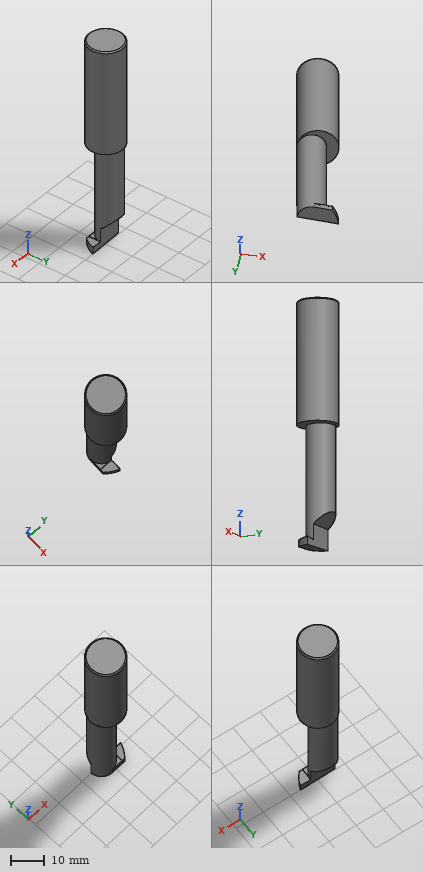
import cadquery as cq
import math

LENGTH = 76.2
SHANK_DIAMETER = 12.7
SHANK_BOTTOM = 38.1
SHANK_CHAMFER = 0.45

NECK_DIAMETER = 9.0
FLAT_TOP = 7.1
RAMP_TOP = 11.1

TOOTH_FLANK_X = 3.65
TOOTH_FLANK_BULGE = 0.3
TOOTH_STEP_X = 2.5
TOOTH_SHOULDER_Z = 2.45
TOOTH_ROOT_Z = 2.3
TOOTH_TIP_Z = 2.5

END_SLOPE_X = 2.5
END_SLOPE_Y = 2.0

shank_radius = SHANK_DIAMETER / 2
neck_radius = NECK_DIAMETER / 2
neck_x = neck_radius - shank_radius


def make_shank():
    shank = cq.Workplane("XY", origin=(0, 0, SHANK_BOTTOM))
    shank = shank.circle(shank_radius).extrude(LENGTH - SHANK_BOTTOM)
    return shank.faces(">Z").chamfer(SHANK_CHAMFER)


def make_neck():
    neck = cq.Workplane("XY").center(neck_x, 0).circle(neck_radius).extrude(SHANK_BOTTOM)
    relief = (
        cq.Workplane("YZ")
        .moveTo(0, 0)
        .lineTo(0, FLAT_TOP)
        .lineTo(neck_radius, RAMP_TOP)
        .lineTo(neck_radius, 0)
        .close()
        .extrude(SHANK_DIAMETER, both=True)
    )
    return neck.cut(relief)


def make_tooth():
    plan = (
        cq.Workplane("XY")
        .moveTo(neck_x, 0)
        .lineTo(neck_x, -neck_radius)
        .lineTo(TOOTH_FLANK_X, -neck_radius)
        .sagittaArc((shank_radius, 0), -TOOTH_FLANK_BULGE)
        .close()
        .extrude(TOOTH_TIP_Z)
    )
    profile = (
        cq.Workplane("XZ")
        .moveTo(neck_x, 0)
        .lineTo(neck_x, TOOTH_SHOULDER_Z)
        .lineTo(TOOTH_STEP_X, TOOTH_SHOULDER_Z)
        .lineTo(TOOTH_STEP_X, TOOTH_ROOT_Z)
        .lineTo(shank_radius, TOOTH_TIP_Z)
        .lineTo(shank_radius, 0)
        .close()
        .extrude(neck_radius)
    )
    return plan.intersect(profile)


def make_end_waste():
    """Material below the sloping end face, which passes through the tooth tip at Z = 0."""
    normal = (math.tan(math.radians(END_SLOPE_X)), math.tan(math.radians(END_SLOPE_Y)), 1)
    end_plane = cq.Plane(origin=(shank_radius, 0, 0), xDir=(0, 1, 0), normal=normal)
    side = 4 * SHANK_DIAMETER
    return cq.Workplane(end_plane).rect(side, side).extrude(-SHANK_DIAMETER)


result = make_shank().union(make_neck()).union(make_tooth()).cut(make_end_waste())